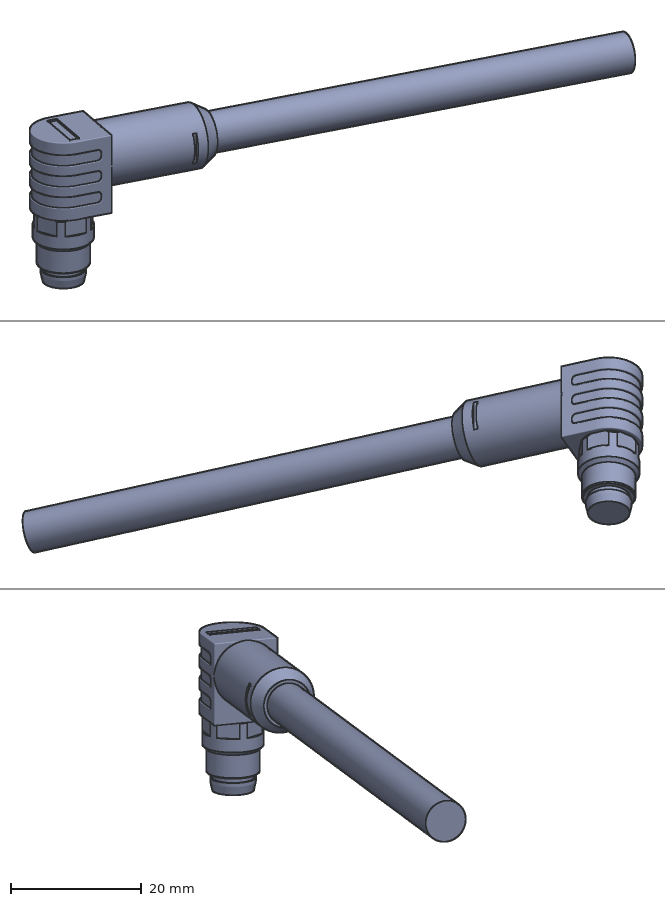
import cadquery as cq
import math


total_length = 100.3
total_height = 25.2
housing_width = 10.3

block_height = 13.0
block_rear_y = 5.8
sleeve_end_y = 24.3
taper_length = 2.2
taper_end_radius = 3.8

slit_center_y = 20.1
slit_width = 0.6
slit_height = 5.0

groove_count = 3
groove_pitch = 3.5
groove_height = 1.8
groove_depth = 0.3
groove_corner_radius = 0.7
groove_rear_y = 4.1
first_groove_drop = 3.0

block_edge_radius = 0.15

recess_width = 8.1
recess_length = 1.6
recess_depth = 0.3

cable_diameter = 6.5

collar_radius = 4.7
collar_height = 5.5
collar_top_chamfer_height = 0.4
collar_top_chamfer_width = 0.2
flat_count = 6
wrench_size = 8.7
flat_height = 2.8
barrel_radius = 4.1
barrel_height = 3.8
barrel_chamfer = 0.2

neck_diameter = 6.5
neck_height = 0.8
ridge_radius = 3.5
ridge_height = 0.6
tip_radius = 3.2

housing_radius = housing_width / 2
top_z = housing_radius
block_bottom_z = top_z - block_height
tip_z = top_z - total_height
sleeve_start_y = block_rear_y - block_edge_radius
cable_length = total_length - housing_radius - sleeve_end_y
collar_bottom_z = block_bottom_z - collar_height
barrel_bottom_z = collar_bottom_z - barrel_height


def d_prism(radius, rear_y, bottom_z, height):
    """Prism with parallel sides, a flat rear face and a half-round front."""
    return (
        cq.Workplane("XY", origin=(0, 0, bottom_z))
        .moveTo(-radius, rear_y)
        .lineTo(-radius, 0)
        .threePointArc((0, -radius), (radius, 0))
        .lineTo(radius, rear_y)
        .close()
        .extrude(height)
    )


def make_sleeve():
    """Cylinder along Y that narrows to a cone at the cable end."""
    return (
        cq.Workplane("XY")
        .moveTo(0, sleeve_start_y)
        .lineTo(housing_radius, sleeve_start_y)
        .lineTo(housing_radius, sleeve_end_y - taper_length)
        .lineTo(taper_end_radius, sleeve_end_y)
        .lineTo(0, sleeve_end_y)
        .close()
        .revolve(360, (0, 0, 0), (0, 1, 0))
    )


def make_grip_groove(center_z):
    """U-shaped band removed from the sides and round front of the block."""
    band = (
        cq.Workplane("YZ")
        .center(groove_rear_y - housing_radius, center_z)
        .rect(2 * housing_radius, groove_height)
        .extrude(2 * housing_radius, both=True)
        .edges("|X and >Y")
        .fillet(groove_corner_radius)
    )
    core = d_prism(
        housing_radius - groove_depth, block_rear_y, center_z - groove_height, 2 * groove_height
    )
    return band.cut(core)


def make_slits():
    """Flat-bottomed slit across each side of the sleeve."""
    slit_floor_x = math.sqrt(housing_radius**2 - (slit_height / 2) ** 2)
    return (
        cq.Workplane("XY")
        .pushPoints([(side * (slit_floor_x + housing_radius / 2), slit_center_y) for side in (-1, 1)])
        .rect(housing_radius, slit_width)
        .extrude(slit_height, both=True)
    )


def is_outer_edge(edge):
    """True for the block edges on its outer skin, except the seams between flat sides and round front."""
    middle = edge.positionAt(0.5)
    tolerance = 0.01
    if middle.y > block_rear_y - tolerance:
        return True
    if abs(middle.y) < tolerance:
        return False
    if middle.y > 0:
        skin_distance = abs(middle.x)
    else:
        skin_distance = math.hypot(middle.x, middle.y)
    return skin_distance > housing_radius - tolerance


def make_block():
    """Grooved elbow block with all its outer edges rounded."""
    block = d_prism(housing_radius, block_rear_y, block_bottom_z, block_height)
    for index in range(groove_count):
        block = block.cut(make_grip_groove(top_z - first_groove_drop - index * groove_pitch))
    return block.edges().filter(is_outer_edge).fillet(block_edge_radius)


def make_housing():
    housing = make_block().union(make_sleeve())
    recess = (
        cq.Workplane("XY", origin=(0, 0, top_z - recess_depth))
        .rect(recess_width, recess_length)
        .extrude(recess_depth)
    )
    return housing.cut(make_slits()).cut(recess)


def make_cable():
    return (
        cq.Workplane("XZ", origin=(0, sleeve_end_y, 0))
        .circle(cable_diameter / 2)
        .extrude(-cable_length)
    )


def make_nut():
    collar = (
        cq.Workplane("XY", origin=(0, 0, block_bottom_z))
        .circle(collar_radius)
        .extrude(-collar_height)
        .faces("<Z")
        .chamfer(collar_radius - barrel_radius)
        .faces(">Z")
        .chamfer(collar_top_chamfer_height, collar_top_chamfer_width)
    )
    hexagon_diameter = wrench_size / math.cos(math.pi / flat_count)
    hexagon = (
        cq.Workplane("XY", origin=(0, 0, block_bottom_z))
        .transformed(rotate=(0, 0, 180 / flat_count))
        .polygon(flat_count, hexagon_diameter)
        .extrude(-flat_height)
    )
    flats = (
        cq.Workplane("XY", origin=(0, 0, block_bottom_z))
        .circle(2 * collar_radius)
        .extrude(-flat_height)
        .cut(hexagon)
    )
    barrel = (
        cq.Workplane("XY", origin=(0, 0, collar_bottom_z))
        .circle(barrel_radius)
        .extrude(-barrel_height)
        .faces("<Z")
        .chamfer(barrel_chamfer)
    )
    return collar.cut(flats).union(barrel)


def make_insert():
    neck_radius = neck_diameter / 2
    ridge_top_z = barrel_bottom_z - neck_height
    ridge_bottom_z = ridge_top_z - ridge_height
    return (
        cq.Workplane("XZ")
        .moveTo(0, barrel_bottom_z)
        .lineTo(neck_radius, barrel_bottom_z)
        .lineTo(neck_radius, ridge_top_z)
        .lineTo(ridge_radius, ridge_top_z)
        .lineTo(ridge_radius, ridge_bottom_z)
        .lineTo(tip_radius, tip_z)
        .lineTo(0, tip_z)
        .close()
        .revolve(360, (0, 0, 0), (0, 1, 0))
    )


housing = make_housing()
cable = make_cable()
nut = make_nut()
insert = make_insert()

result = cq.Compound.makeCompound([housing.val(), cable.val(), nut.val(), insert.val()])